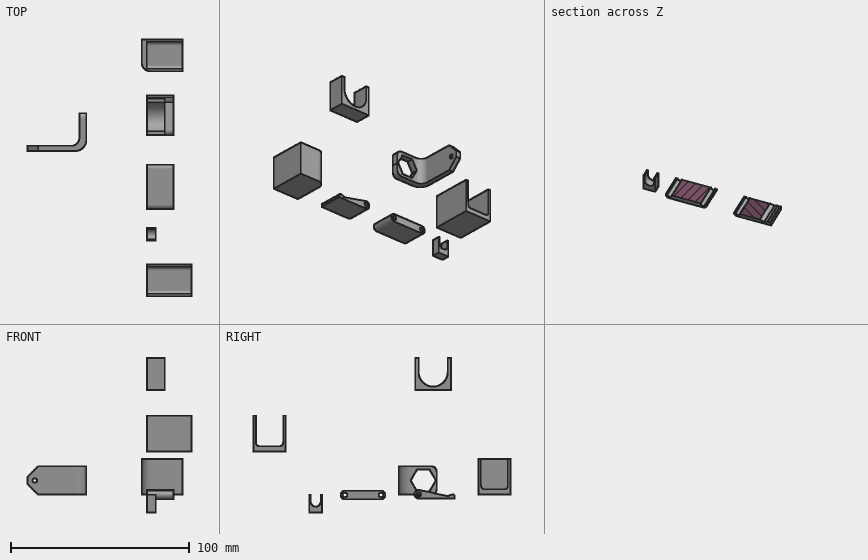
import cadquery as cq
import math

LINK_WIDTH = 15.0
PIN_HOLE_D = 2.5
KNUCKLE_R = 2.5
PLATE = 3.0
ALIGN_X = 66.8
LOW_Z = 10.0

U_WIDTH = 18.0
U_HEIGHT = 20.1
U_WALL = 1.5
U_FILLET = 2.0
CHANNEL_LENGTH = 25.0
CHANNEL_Z = 34.2
CAP_CAVITY_LENGTH = 20.0
CAP_Y = 125.7
CAP_CORNER_R = 5.0

CRADLE_LENGTH = 10.0
CRADLE_WALL = 2.0
CRADLE_R = 8.0
CRADLE_HEIGHT = 18.0
CRADLE_Y = 90.4
CRADLE_Z = 68.5

SMALL_LENGTH = 5.0
SMALL_WALL = 0.9
SMALL_R = 2.7
SMALL_FLOOR = 3.5
SMALL_HEIGHT = LOW_Z
SMALL_Y = 31.2

LINK_LENGTH = 25.0
LINK_Y = 48.7
LINK_Z = 7.5

LEVER_LENGTH = 22.5
LEVER_Y = 90.0
LEVER_Z = 7.9
TIP_HEIGHT = 2.5
TIP_R = 1.3
DIP_DISTANCE = 4.0
DIP_HEIGHT = 1.5

BRACKET_X = 33.0
BRACKET_Y = 21.3
BRACKET_HEIGHT = 16.0
BRACKET_FRONT_Y = 81.2
ARM_THICKNESS = 4.0
BEND_INNER_R = 4.5
BEND_OUTER_R = 6.3
TIP_CHAMFER = 6.0
BRACKET_HOLE_X = 4.2
ARM_CORNER_R = 3.0
HEX_FLATS = 12.0
HEX_EDGE_MARGIN = 0.6


def box(x, y, z, length, width, height):
    """Box with its lowest corner at (x, y, z)."""
    return cq.Workplane("XY").box(length, width, height, centered=False).translate((x, y, z))


def u_cavity(x, y, z, length):
    """Open-topped cavity of the U section, rounded along its two floor edges."""
    cavity = box(x, y + U_WALL, z + PLATE, length, U_WIDTH - 2 * U_WALL, U_HEIGHT - PLATE)
    return cavity.edges("|X and <Z").fillet(U_FILLET)


def make_channel():
    body = box(ALIGN_X, 0, CHANNEL_Z, CHANNEL_LENGTH, U_WIDTH, U_HEIGHT)
    return body.cut(u_cavity(ALIGN_X, 0, CHANNEL_Z, CHANNEL_LENGTH))


def make_end_cap():
    """U section closed by a wall at -X, with one rounded upright corner."""
    length = CAP_CAVITY_LENGTH + PLATE
    body = box(ALIGN_X - PLATE, CAP_Y, LOW_Z, length, U_WIDTH, U_HEIGHT)
    body = body.edges("|Z and <X and <Y").fillet(CAP_CORNER_R)
    return body.cut(u_cavity(ALIGN_X, CAP_Y, LOW_Z, CAP_CAVITY_LENGTH))


def make_cradle(y, z, length, height, radius, wall, floor):
    """Block with a round-bottomed slot that is open at the top."""
    width = 2 * (radius + wall)
    axis_y = y + width / 2
    axis_z = z + floor + radius
    body = box(ALIGN_X, y, z, length, width, height)
    slot = box(ALIGN_X, axis_y - radius, axis_z, length, 2 * radius, z + height - axis_z)
    return body.cut(slot).cut(x_cylinder(ALIGN_X, axis_y, axis_z, radius, length))


def x_cylinder(x, y, z, radius, length):
    """Cylinder along +X that starts at (x, y, z)."""
    return cq.Workplane("YZ").circle(radius).extrude(length).translate((x, y, z))


def make_link():
    """Flat link with round ends and a pin hole at each end."""
    body = (
        cq.Workplane("YZ")
        .slot2D(LINK_LENGTH, 2 * KNUCKLE_R)
        .extrude(LINK_WIDTH)
        .translate((ALIGN_X, LINK_Y + LINK_LENGTH / 2, LINK_Z + KNUCKLE_R))
    )
    for y in (LINK_Y + KNUCKLE_R, LINK_Y + LINK_LENGTH - KNUCKLE_R):
        body = body.cut(x_cylinder(ALIGN_X, y, LINK_Z + KNUCKLE_R, PIN_HOLE_D / 2, LINK_WIDTH))
    return body


def make_lever():
    """Lever with a knuckle at -Y and a top that slopes down to a dip before the tip."""
    axis_y = LEVER_Y + KNUCKLE_R
    axis_z = LEVER_Z + KNUCKLE_R
    end_y = LEVER_Y + LEVER_LENGTH
    dip_y = end_y - DIP_DISTANCE
    dip_z = LEVER_Z + DIP_HEIGHT
    run = dip_y - axis_y
    drop = axis_z - dip_z
    tangent = math.acos(KNUCKLE_R / math.hypot(run, drop)) - math.atan2(drop, run)
    tangent_y = axis_y + KNUCKLE_R * math.cos(tangent)
    tangent_z = axis_z + KNUCKLE_R * math.sin(tangent)
    body = (
        cq.Workplane("YZ")
        .moveTo(axis_y, LEVER_Z)
        .lineTo(end_y, LEVER_Z)
        .lineTo(end_y, LEVER_Z + TIP_HEIGHT - TIP_R)
        .radiusArc((end_y - TIP_R, LEVER_Z + TIP_HEIGHT), -TIP_R)
        .lineTo(dip_y, dip_z)
        .lineTo(tangent_y, tangent_z)
        .threePointArc((LEVER_Y, axis_z), (axis_y, LEVER_Z))
        .close()
        .extrude(LINK_WIDTH)
        .translate((ALIGN_X, 0, 0))
    )
    return body.cut(x_cylinder(ALIGN_X, axis_y, axis_z, PIN_HOLE_D / 2, LINK_WIDTH))


def make_bracket():
    """Angle bracket: a pointed plate along X and an arm along Y with a hexagonal hole."""
    back_y = BRACKET_FRONT_Y + BRACKET_Y
    centre_z = LOW_Z + BRACKET_HEIGHT / 2
    body = box(0, BRACKET_FRONT_Y, LOW_Z, BRACKET_X, BRACKET_Y, BRACKET_HEIGHT)
    body = body.edges("|Z and >X and <Y").fillet(BEND_OUTER_R)

    inside = box(0, BRACKET_FRONT_Y + PLATE, LOW_Z, BRACKET_X - ARM_THICKNESS,
                 BRACKET_Y - PLATE, BRACKET_HEIGHT)
    body = body.cut(inside.edges("|Z and >X and <Y").fillet(BEND_INNER_R))

    body = body.edges("|Y and <X").chamfer(TIP_CHAMFER)
    body = body.edges("|X and >Y").fillet(ARM_CORNER_R)

    pin_hole = cq.Workplane("XZ").circle(PIN_HOLE_D / 2).extrude(-PLATE)
    body = body.cut(pin_hole.translate((BRACKET_HOLE_X, BRACKET_FRONT_Y, centre_z)))

    hex_corners = HEX_FLATS / math.cos(math.pi / 6)
    hex_y = back_y - HEX_EDGE_MARGIN - hex_corners / 2
    hex_length = ARM_THICKNESS + BEND_INNER_R
    hexagon = cq.Workplane("YZ").polygon(6, hex_corners).extrude(hex_length)
    return body.cut(hexagon.translate((BRACKET_X - hex_length, hex_y, centre_z)))


channel = make_channel()
end_cap = make_end_cap()
large_cradle = make_cradle(
    CRADLE_Y, CRADLE_Z, CRADLE_LENGTH, CRADLE_HEIGHT, CRADLE_R, CRADLE_WALL, CRADLE_WALL)
small_cradle = make_cradle(
    SMALL_Y, 0, SMALL_LENGTH, SMALL_HEIGHT, SMALL_R, SMALL_WALL, SMALL_FLOOR)
link = make_link()
lever = make_lever()
bracket = make_bracket()

result = cq.Compound.makeCompound([
    channel.val(),
    end_cap.val(),
    large_cradle.val(),
    small_cradle.val(),
    link.val(),
    lever.val(),
    bracket.val(),
])